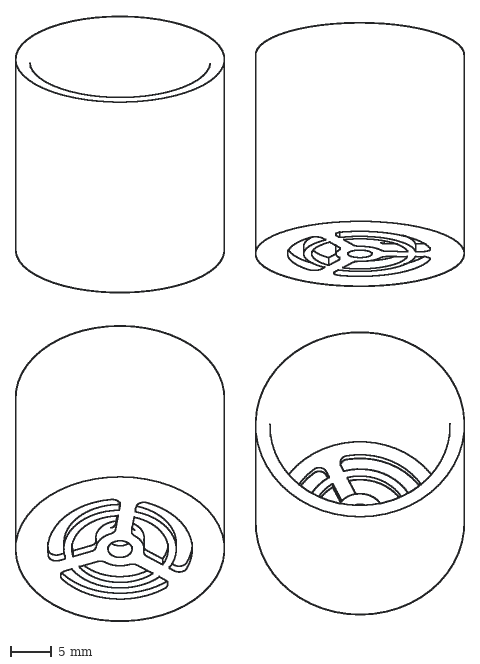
import cadquery as cq

OUTER_RADIUS = 13.0
HEIGHT = 26.0
FLOOR_THICKNESS = 1.0

BORE_FLOOR_RADIUS = 10.83
MOUTH_RADIUS = 11.2
LIP_ROUND = 0.5

HUB_RADIUS = 3.0
HUB_RISE = 1.0
HUB_HOLE_RADIUS = 1.5
RING_INNER_RADIUS = 6.0
RING_OUTER_RADIUS = 7.0
GRILLE_RADIUS = 9.0
SPOKE_COUNT = 3
SPOKE_WIDTH = 2.0
SLOT_CORNER_RADIUS = 1.0
SPOKE_ROOT_RADIUS = 1.0


def make_cup():
    """Revolve the wall and floor, including the tapered bore and rounded lip."""
    lip_z = HEIGHT - LIP_ROUND
    lip_center_radius = MOUTH_RADIUS + LIP_ROUND
    lip_offset = LIP_ROUND / 2 ** 0.5
    profile = (
        cq.Workplane("XZ")
        .lineTo(OUTER_RADIUS, 0)
        .lineTo(OUTER_RADIUS, HEIGHT)
        .lineTo(lip_center_radius, HEIGHT)
        .threePointArc(
            (lip_center_radius - lip_offset, lip_z + lip_offset),
            (MOUTH_RADIUS, lip_z),
        )
        .lineTo(BORE_FLOOR_RADIUS, FLOOR_THICKNESS)
        .lineTo(0, FLOOR_THICKNESS)
        .close()
    )
    return profile.revolve(360, (0, 0), (0, 1))


def make_spokes():
    """Radial bars from the center out past the grille edge, one along +X."""
    spokes = cq.Workplane("XY")
    for index in range(SPOKE_COUNT):
        spoke = cq.Workplane("XY").box(
            OUTER_RADIUS, SPOKE_WIDTH, FLOOR_THICKNESS, centered=(False, True, False)
        )
        spokes = spokes.union(spoke.rotate((0, 0, 0), (0, 0, 1), index * 360 / SPOKE_COUNT))
    return spokes


def make_openings(inner_radius, outer_radius):
    """Annular band of openings through the floor, interrupted by the spokes."""
    band = cq.Workplane("XY").circle(outer_radius).circle(inner_radius).extrude(FLOOR_THICKNESS)
    return band.cut(make_spokes())


def round_corners(openings, limit_radius, outside, corner_radius):
    """Round the vertical corners lying outside or inside the limit radius."""
    corners = []
    for edge in openings.edges("|Z").vals():
        center = edge.Center()
        is_outside = center.x ** 2 + center.y ** 2 > limit_radius ** 2
        if is_outside == outside:
            corners.append(edge)
    return openings.newObject(corners).fillet(corner_radius)


def cut_grille(body):
    """Open the floor inside and outside the ring."""
    inner = make_openings(HUB_RADIUS, RING_INNER_RADIUS)
    inner = round_corners(inner, (HUB_RADIUS + RING_INNER_RADIUS) / 2, False, SPOKE_ROOT_RADIUS)
    outer = make_openings(RING_OUTER_RADIUS, GRILLE_RADIUS)
    outer = round_corners(outer, (RING_OUTER_RADIUS + GRILLE_RADIUS) / 2, True, SLOT_CORNER_RADIUS)
    return body.cut(inner).cut(outer)


def add_hub(body):
    """Raise the hub above the spokes and drill it through."""
    hub_height = FLOOR_THICKNESS + HUB_RISE
    hub = cq.Workplane("XY").circle(HUB_RADIUS).extrude(hub_height)
    hole = cq.Workplane("XY").circle(HUB_HOLE_RADIUS).extrude(hub_height)
    return body.union(hub).cut(hole)


result = add_hub(cut_grille(make_cup()))